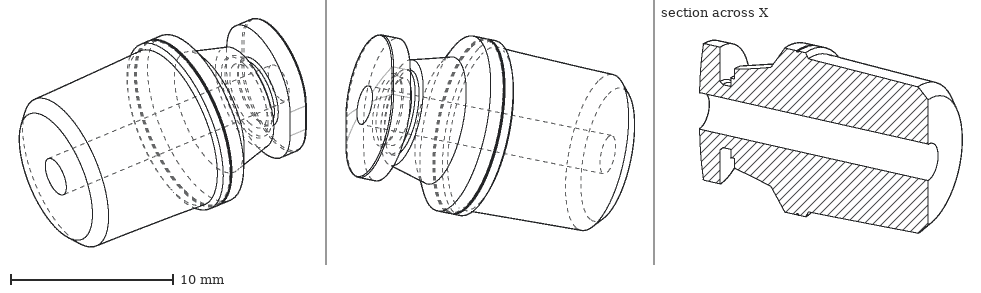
import cadquery as cq

front_y = -8.15
front_chamfer_y = -7.43
body_back_y = 0.37
flange_front_y = 0.57
groove_front_y = 1.11
groove_back_y = 1.2
flange_back_y = 2.07
shoulder_y = 3.06
cone_back_y = 5.65
collar_back_y = 5.92
neck_back_y = 6.47
head_front_y = 6.65
head_rim_y = 7.78
crown_y = 8.15

front_face_radius = 4.19
body_front_radius = 4.9
body_back_radius = 5.13
flange_diameter = 11.0
flange_radius = flange_diameter / 2
groove_depth = 0.08
shoulder_radius = 4.0
cone_back_radius = 3.33
collar_radius = 2.67
neck_radius = 2.12
neck_flare_radius = 2.28
bore_diameter = 2.41
bore_overrun = 0.33

head_width = 7.24
head_height = 9.16
rim_break = 0.1
crown_middle_scale = 0.6
crown_middle_rise = 0.21
crown_top_scale = 0.15


def turned_body():
    """Revolve the body, flange, cone, collar and neck about Y."""
    groove_radius = flange_radius - groove_depth
    profile = (
        cq.Workplane("XY")
        .moveTo(0, front_y)
        .lineTo(front_face_radius, front_y)
        .lineTo(body_front_radius, front_chamfer_y)
        .lineTo(body_back_radius, body_back_y)
        .lineTo(flange_radius, flange_front_y)
        .lineTo(flange_radius, groove_front_y)
        .lineTo(groove_radius, groove_front_y)
        .lineTo(groove_radius, groove_back_y)
        .lineTo(flange_radius, groove_back_y)
        .lineTo(flange_radius, flange_back_y)
        .lineTo(shoulder_radius, shoulder_y)
        .lineTo(cone_back_radius, cone_back_y)
        .lineTo(collar_radius, cone_back_y)
        .lineTo(collar_radius, collar_back_y)
        .lineTo(neck_radius, collar_back_y)
        .lineTo(neck_radius, neck_back_y)
        .lineTo(neck_flare_radius, head_front_y)
        .lineTo(0, head_front_y)
        .close()
    )
    return profile.revolve(360, (0, 0), (0, 1))


def oblong(y, height, width):
    """Round-ended outline across Y, its long side along Z."""
    plane = cq.Plane(origin=(0, y, 0), xDir=(0, 0, 1), normal=(0, 1, 0))
    return cq.Workplane(plane).slot2D(height, width)


def head():
    """Oblong plate with a broken rim and a low crown that shrinks toward the axis."""
    plate_back_y = head_rim_y + rim_break
    plate = oblong(head_front_y, head_height, head_width).extrude(plate_back_y - head_front_y)
    plate = plate.faces(">Y").edges().chamfer(rim_break, rim_break / 2)

    crown_height = head_height - rim_break
    crown_width = head_width - rim_break
    crown_sections = (
        (plate_back_y, 1.0),
        (plate_back_y + crown_middle_rise, crown_middle_scale),
        (crown_y, crown_top_scale),
    )
    wires = [
        oblong(y, scale * crown_height, scale * crown_width).val()
        for y, scale in crown_sections
    ]
    crown = cq.Solid.makeLoft(wires, False)
    return plate.union(cq.Workplane(obj=crown))


def bore():
    """Through hole along Y, overrunning both ends."""
    length = crown_y - front_y + 2 * bore_overrun
    plane = cq.Workplane("XZ", origin=(0, crown_y + bore_overrun, 0))
    return plane.circle(bore_diameter / 2).extrude(length)


result = turned_body().union(head()).cut(bore())